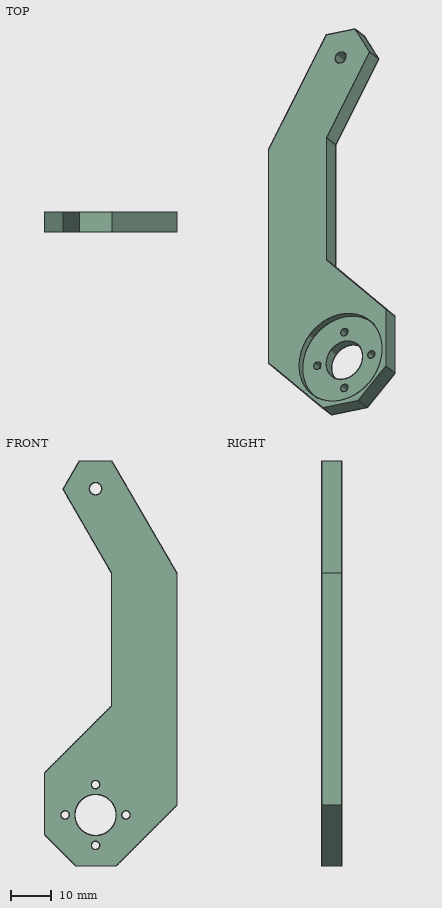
import cadquery as cq
import math

width = 32.5
height = 99.4
thickness = 5.0

base_reach = 12.5
base_chamfer = 7.7
left_edge_top = 10.3
bottom_edge_right = 5.1
arm_width = 16.1
elbow_height = 59.4
arm_lean = math.radians(30)
tip_half_width = 4.0
tip_depth = 7.0

bore_diameter = 10.0
recess_diameter = 23.0
recess_depth = 2.0
screw_diameter = 2.0
screw_circle_radius = 7.5
pivot_diameter = 3.0
pivot_height = 80.0

left = -base_reach
bottom = -base_reach
right = left + width
top = bottom + height
arm_left = right - arm_width
tip_corner_z = top - tip_depth
tip_corner_x = arm_left - (tip_corner_z - elbow_height) * math.tan(arm_lean)

outline = [
    (left + base_chamfer, bottom),
    (bottom_edge_right, bottom),
    (right, bottom + right - bottom_edge_right),
    (right, elbow_height),
    (tip_half_width, top),
    (-tip_half_width, top),
    (tip_corner_x, tip_corner_z),
    (arm_left, elbow_height),
    (arm_left, left_edge_top + arm_left - left),
    (left, left_edge_top),
    (left, bottom + base_chamfer),
]


def holes(points, diameter):
    """Cylinders that pass through the full thickness."""
    return cq.Workplane("XZ").pushPoints(points).circle(diameter / 2).extrude(thickness, both=True)


plate = cq.Workplane("XZ").polyline(outline).close().extrude(thickness / 2, both=True)

recess = (
    cq.Workplane("XZ", origin=(0, thickness / 2, 0))
    .circle(recess_diameter / 2)
    .extrude(recess_depth)
)

screw_points = [
    (screw_circle_radius, 0),
    (0, screw_circle_radius),
    (-screw_circle_radius, 0),
    (0, -screw_circle_radius),
]

result = (
    plate
    .cut(recess)
    .cut(holes([(0, 0)], bore_diameter))
    .cut(holes(screw_points, screw_diameter))
    .cut(holes([(0, pivot_height)], pivot_diameter))
)